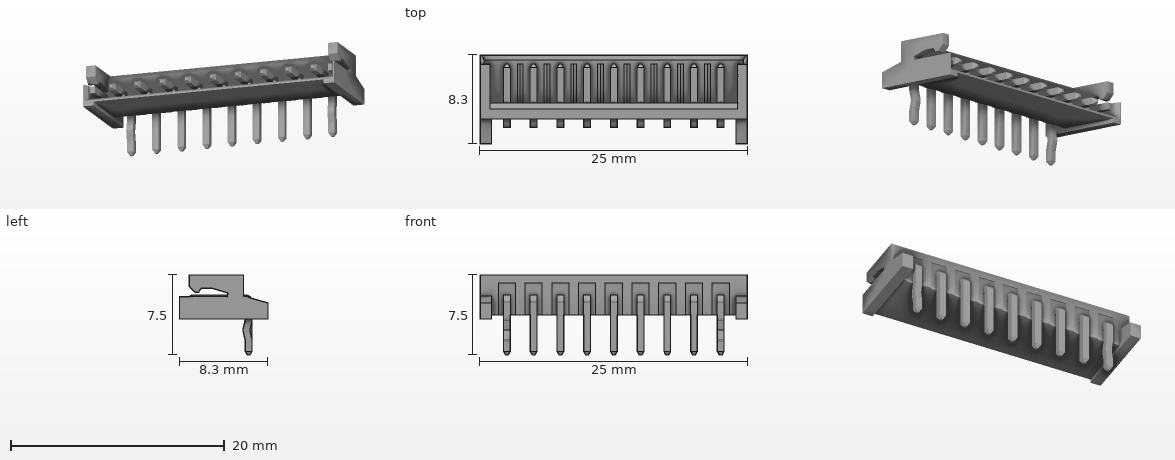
import cadquery as cq
import math


width = 25.0
height = 4.15
base_height = 2.1
base_depth = 6.0
arm_depth = 5.1
half_width = width / 2

leg_reach = 2.3
leg_width = 1.08
leg_root_height = 2.18
leg_nose_height = 1.52
underside = 0.38

cavity_front = 1.5
front_chamfer = 0.55
wall = 0.92
rear_wall = 0.38
rear_step = 5.18
floor = 0.75
undercut_height = 1.45
lead_in = 0.45
lead_in_angle = 25.0
lead_in_flare = 0.25

slot_roof = 2.88
slot_end_roof = 2.45
slope_start = 2.92
roof_end = 3.98
hook_height = 2.5
hook_front = 4.2
hook_rear = 4.55
arm_nose_height = 3.08

ridge_height = 0.28

pin_count = 9
pitch = 2.5
pin = 0.65
pin_top = 2.28
pin_back = -0.15
pin_end = -3.35
tip_length = 0.35
tip_angle = 30.0
kink_length = 2.05
kink_angle = 12.5
pin_front = pin_back - pin
pin_bottom = pin_top - pin

relief_width = 1.6
relief_top = 3.38
relief_depth = 0.1


def box(x0, x1, y0, y1, z0, z1):
    return cq.Workplane("XY").box(x1 - x0, y1 - y0, z1 - z0, centered=False).translate((x0, y0, z0))


def extrude_across(profile, x0, x1):
    """Extrude a closed YZ sketch from x0 to x1."""
    return profile.close().extrude(x1 - x0).translate((x0, 0, 0))


def make_envelope():
    outline = cq.Workplane("YZ").polyline([
        (-leg_reach, 0),
        (base_depth, 0),
        (base_depth, base_height),
        (arm_depth, base_height),
        (arm_depth, height),
        (0, height),
        (0, leg_root_height),
        (-leg_reach, leg_nose_height),
    ])
    inner = half_width - leg_width
    leg_gap = box(-inner, inner, -leg_reach, 0, 0, height)
    under_gap = box(-inner, inner, 0, base_depth, 0, underside)
    return extrude_across(outline, -half_width, half_width).cut(leg_gap).cut(under_gap)


def make_cavity():
    """Space between the side walls, widened along the floor.

    The front rim is chamfered and the rear mouth flares outward and downward.
    """
    inner = half_width - wall
    main_outline = cq.Workplane("YZ").polyline([
        (cavity_front, floor),
        (rear_step, floor),
        (rear_step, height),
        (cavity_front - front_chamfer, height),
        (cavity_front, height - front_chamfer),
    ])
    main = extrude_across(main_outline, -inner, inner)

    rear_inner = half_width - rear_wall
    undercut = box(-rear_inner, rear_inner, cavity_front, rear_step, floor, undercut_height)
    rear = box(-rear_inner, rear_inner, rear_step, base_depth, floor, height)

    mouth_start = base_depth - lead_in
    mouth_inner = rear_inner + lead_in_flare
    flare = cq.Workplane("XY").polyline([
        (-rear_inner, mouth_start),
        (rear_inner, mouth_start),
        (mouth_inner, base_depth),
        (-mouth_inner, base_depth),
    ]).close().extrude(height)
    mouth_drop = lead_in * math.tan(math.radians(lead_in_angle))
    ramp_outline = cq.Workplane("YZ").polyline([
        (mouth_start, floor),
        (base_depth, floor - mouth_drop),
        (base_depth, height),
        (mouth_start, height),
    ])
    mouth = flare.intersect(extrude_across(ramp_outline, -half_width, half_width))
    return main.union(undercut).union(rear).union(mouth)


def make_arm_slots():
    """Gap between the latch arms and the base, cut through both side walls."""
    outline = cq.Workplane("YZ").polyline([
        (cavity_front, base_height),
        (arm_depth, base_height),
        (arm_depth, arm_nose_height),
        (hook_rear, hook_height),
        (hook_front, hook_height),
        (roof_end, slot_roof),
        (slope_start, slot_roof),
        (cavity_front, slot_end_roof),
    ])
    return extrude_across(outline, -half_width, half_width)


def make_ridge(x):
    return (
        cq.Workplane("XZ")
        .polyline([(x - ridge_height, floor), (x + ridge_height, floor), (x, floor + ridge_height)])
        .close()
        .extrude(-(rear_step - cavity_front))
        .translate((0, cavity_front, 0))
    )


def make_relief(x):
    return box(x - relief_width / 2, x + relief_width / 2, 0, relief_depth, underside, relief_top)


def make_tip(plane):
    """Square taper that closes one end of a pin."""
    end_size = pin - 2 * tip_length * math.tan(math.radians(tip_angle))
    return cq.Workplane(plane).rect(pin, pin).workplane(offset=tip_length).rect(end_size, end_size).loft()


def make_kinked_profile(profile):
    """Draw the leg from its front top corner, round its end and back up, with a sideways kink.

    The strip turns about one sharp edge at each bend, so the opposite side is an arc
    whose radius is the pin thickness.
    """
    angle = math.radians(kink_angle)
    sine, cosine = math.sin(angle), math.cos(angle)
    half_sine, half_cosine = math.sin(angle / 2), math.cos(angle / 2)
    middle = -kink_length / 2
    run = (kink_length / 2 - pin * sine) / cosine
    dent = pin_back - pin * cosine + run * sine
    bulge = dent + pin * cosine
    return (
        profile.lineTo(pin_front, 0)
        .threePointArc(
            (pin_back - pin * half_cosine, -pin * half_sine),
            (pin_back - pin * cosine, -pin * sine),
        )
        .lineTo(dent, middle)
        .lineTo(pin_back - pin * cosine, pin * sine - kink_length)
        .threePointArc(
            (pin_back - pin * half_cosine, pin * half_sine - kink_length),
            (pin_front, -kink_length),
        )
        .lineTo(pin_front, pin_end + tip_length)
        .lineTo(pin_back, pin_end + tip_length)
        .lineTo(pin_back, -kink_length)
        .lineTo(bulge, middle - pin * sine)
        .threePointArc((dent + pin, middle), (bulge, middle + pin * sine))
        .lineTo(pin_back, 0)
    )


def make_pin(x, kinked):
    """Right-angle pin with a rounded outer bend and tapered ends."""
    bend = pin * math.sqrt(0.5)
    bar_end = rear_step - tip_length
    profile = (
        cq.Workplane("YZ")
        .moveTo(pin_back, pin_bottom)
        .lineTo(bar_end, pin_bottom)
        .lineTo(bar_end, pin_top)
        .lineTo(pin_back, pin_top)
        .threePointArc((pin_back - bend, pin_bottom + bend), (pin_front, pin_bottom))
    )
    if kinked:
        profile = make_kinked_profile(profile)
    else:
        profile = profile.lineTo(pin_front, pin_end + tip_length).lineTo(pin_back, pin_end + tip_length)
    body = extrude_across(profile, -pin / 2, pin / 2)

    contact_tip = make_tip("ZX").translate((0, bar_end, pin_top - pin / 2))
    solder_tip = make_tip(cq.Plane((0, 0, 0), (1, 0, 0), (0, 0, -1)))
    solder_tip = solder_tip.translate((0, pin_back - pin / 2, pin_end + tip_length))
    return body.union(contact_tip).union(solder_tip).translate((x, 0, 0))


first_pin = -pitch * (pin_count - 1) / 2
pin_places = [first_pin + pitch * i for i in range(pin_count)]

housing = make_envelope().cut(make_cavity()).cut(make_arm_slots())
for x in pin_places:
    housing = housing.cut(make_relief(x))
for x in pin_places[:-1]:
    housing = housing.union(make_ridge(x + pitch / 2))

result = housing
for x in pin_places:
    result = result.union(make_pin(x, kinked=x in (pin_places[0], pin_places[-1])))